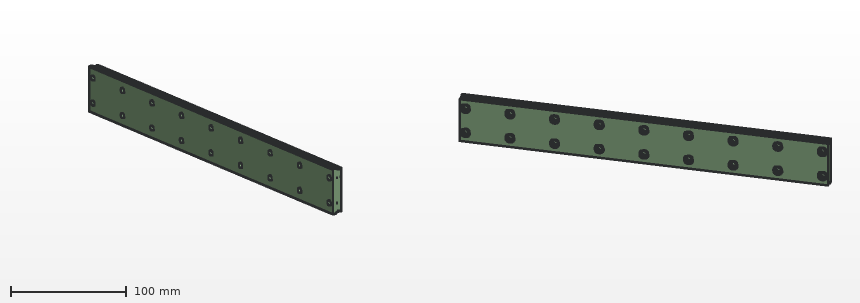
import cadquery as cq

length = 330.0
thickness = 9.5
height = 42.0
half_height = height / 2
front_chamfer = 0.5

crest_width = 3.15
shelf_drop = 1.0
shelf_width = 1.3

groove_depth = 1.0
groove_width = 2.8
hollow_width = 2.0

end_margin = 5.0
columns = 9
rows = 2
column_spacing = (length - 2 * end_margin) / (columns - 1)
row_spacing = 23.0
hole_diameter = 4.5
bore_diameter = 8.0
bore_depth = 4.0


def half_plate():
    """Upper half of the plate, from mid-height to the stepped and grooved top edge."""
    shelf_start = crest_width + shelf_drop
    shelf_z = half_height - shelf_drop
    groove_start = shelf_start + shelf_width
    groove_z = shelf_z - groove_depth
    return (
        cq.Workplane("YZ")
        .lineTo(0, half_height - front_chamfer)
        .lineTo(front_chamfer, half_height)
        .lineTo(crest_width, half_height)
        .lineTo(shelf_start, shelf_z)
        .lineTo(groove_start, shelf_z)
        .threePointArc(
            (groove_start + hollow_width / 2, groove_z),
            (groove_start + hollow_width, groove_z),
        )
        .lineTo(groove_start + groove_width, shelf_z)
        .lineTo(thickness, shelf_z)
        .lineTo(thickness, 0)
        .close()
        .extrude(length)
    )


def rear_drillings(diameter, depth):
    """Cylinders at every hole position, running forward from the rear face."""
    return (
        cq.Workplane("XZ", origin=(length / 2, thickness, 0))
        .rarray(column_spacing, row_spacing, columns, rows)
        .circle(diameter / 2)
        .extrude(depth)
    )


upper_half = half_plate()
plate = upper_half.union(upper_half.mirror("XY"))
holes = rear_drillings(hole_diameter, thickness)
bores = rear_drillings(bore_diameter, bore_depth)

result = plate.cut(holes).cut(bores)